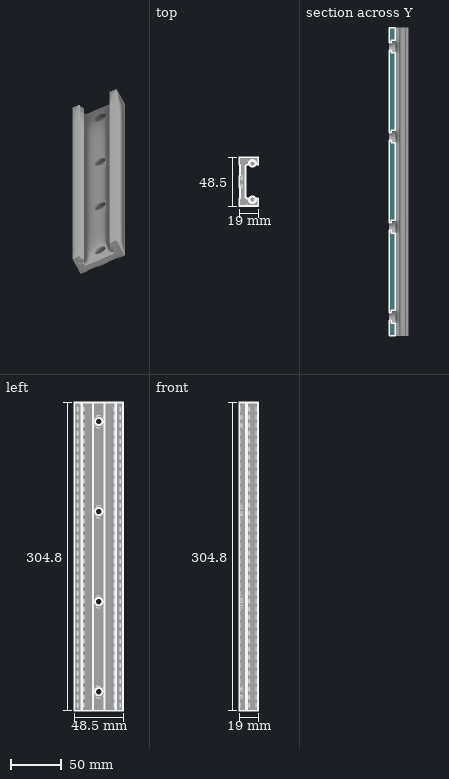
import cadquery as cq

LENGTH = 304.8
WIDTH = 48.5
DEPTH = 19.0

WEB_FACE_X = 6.5
LIP_Y = 16.5
CORNER_CHAMFER = 1.0
EDGE_CHAMFER = 0.45

RELIEF_DEPTH = 0.5
RELIEF_INNER_Y = 5.5
RELIEF_OUTER_Y = 17.0
RELIEF_FLANK = 0.5

SCRIBE_X = 7.3
SCRIBE_DEPTH = 0.5

ROD_DIAMETER = 6.0
SEAT_DIAMETER = 7.0
ROD_X = 13.0
ROD_Y = 17.7

HOLE_DIAMETER = 7.0
COUNTERBORE_DIAMETER = 12.2
COUNTERBORE_FLOOR_X = 2.5
HOLE_COUNT = 4
HOLE_PITCH = 89.0
FIRST_HOLE_Z = (LENGTH - (HOLE_COUNT - 1) * HOLE_PITCH) / 2

SIDES = (-1, 1)


def prism(points):
    """Closed outline in the XY plane, extruded over the full length."""
    return cq.Workplane("XY").polyline(points).close().extrude(LENGTH)


def long_cylinder(side, diameter):
    """Full-length cylinder on the axis of one rod."""
    return cq.Workplane("XY").center(ROD_X, side * ROD_Y).circle(diameter / 2).extrude(LENGTH)


def rod(side):
    """Round rod in one flange."""
    return long_cylinder(side, ROD_DIAMETER)


def rod_seat(side):
    """Clearance bore for one rod, open toward the inside of the channel."""
    return long_cylinder(side, SEAT_DIAMETER)


def channel_blank():
    """C-shaped section with chamfered inner corners and flange tips."""
    half_width = WIDTH / 2
    upper_half = [
        (0, half_width),
        (DEPTH - EDGE_CHAMFER, half_width),
        (DEPTH, half_width - EDGE_CHAMFER),
        (DEPTH, LIP_Y + EDGE_CHAMFER),
        (DEPTH - EDGE_CHAMFER, LIP_Y),
        (WEB_FACE_X + CORNER_CHAMFER, LIP_Y),
        (WEB_FACE_X, LIP_Y - CORNER_CHAMFER),
    ]
    lower_half = [(x, -y) for x, y in reversed(upper_half)]
    return prism(upper_half + lower_half)


def face_relief(side):
    """Shallow relief with sloping flanks in the mounting face."""
    return prism([
        (0, side * RELIEF_INNER_Y),
        (RELIEF_DEPTH, side * (RELIEF_INNER_Y + RELIEF_FLANK)),
        (RELIEF_DEPTH, side * (RELIEF_OUTER_Y - RELIEF_FLANK)),
        (0, side * RELIEF_OUTER_Y),
    ])


def scribe_line():
    """Small 90-degree V-groove in the -Y side."""
    side_y = -WIDTH / 2
    return prism([
        (SCRIBE_X - SCRIBE_DEPTH, side_y),
        (SCRIBE_X, side_y + SCRIBE_DEPTH),
        (SCRIBE_X + SCRIBE_DEPTH, side_y),
    ])


def mounting_holes():
    """Row of holes through the web, counterbored from inside the channel."""
    places = [(0, FIRST_HOLE_Z + i * HOLE_PITCH) for i in range(HOLE_COUNT)]
    bores = cq.Workplane("YZ").pushPoints(places).circle(HOLE_DIAMETER / 2).extrude(WEB_FACE_X)
    counterbores = (
        cq.Workplane("YZ", origin=(COUNTERBORE_FLOOR_X, 0, 0))
        .pushPoints(places)
        .circle(COUNTERBORE_DIAMETER / 2)
        .extrude(WEB_FACE_X - COUNTERBORE_FLOOR_X)
    )
    return bores.union(counterbores)


def build_channel():
    """Channel with its reliefs, rod seats, scribe line and mounting holes."""
    body = channel_blank().cut(scribe_line()).cut(mounting_holes())
    for side in SIDES:
        body = body.cut(face_relief(side)).cut(rod_seat(side))
    return body


channel = build_channel()
rods = [rod(side) for side in SIDES]

result = cq.Compound.makeCompound([channel.val(), *[each_rod.val() for each_rod in rods]])